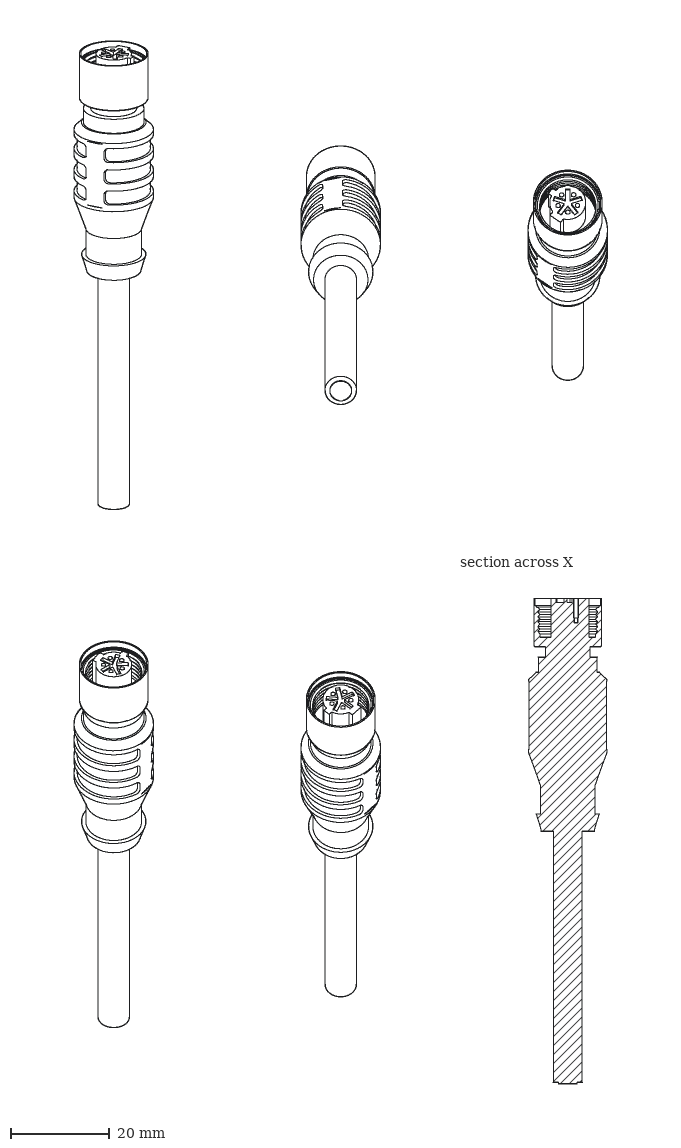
import cadquery as cq
import math

total_height = 98.3

core_diameter = 4.4
core_stub = 0.3
cable_diameter = 6.4

relief_end_diameter = 11.0
relief_lip_diameter = 13.1
relief_bottom = 51.1
relief_top = 54.6
waist_diameter = 11.3
waist_top = 60.2
grip_diameter = 16.1
grip_bottom = 67.0
grip_top = 81.9
shoulder_diameter = 13.1
shoulder_top = 83.3

collar_diameter = 12.3
collar_top = 86.4
neck_diameter = 9.3

nut_diameter = 14.0
nut_length = 9.8
nut_bottom = total_height - nut_length
nut_edge_chamfer = 0.2
nut_mouth_diameter = 13.4
nut_mouth_depth = 1.5
nut_step_diameter = 12.9
nut_step_depth = 1.8
nut_bore_diameter = 11.4
nut_floor_thickness = 2.0
nut_floor = nut_bottom + nut_floor_thickness
thread_pitch = 1.0
thread_root_diameter = 12.3
thread_count = 6

groove_count = 3
groove_height = 3.0
groove_pitch = 4.6
groove_floor_diameter = 14.8
groove_end_offset = 2.1
groove_corner_radius = 0.9
top_groove_center = 79.2

flat_width = 3.3
flat_bottom = 67.7
flat_top = 81.6

insert_diameter = 7.3
key_reach = 4.3
wide_key_width = 2.7
narrow_key_width = 1.5
contact_count = 5
contact_circle_diameter = 4.1
contact_hole_diameter = 0.9
contact_hole_depth = 3.9
contact_bore_diameter = 0.7
contact_bore_depth = 4.9
star_arm_width = 0.9
star_arm_reach = 2.9
star_depth = 0.8


def disc(diameter, bottom, top):
    """Solid cylinder on the Z axis."""
    return cq.Workplane("XY").workplane(offset=bottom).circle(diameter / 2).extrude(top - bottom)


def make_body():
    """Turned shape of cable, strain relief, grip, collar and neck."""
    outline = [
        (0, 0),
        (core_diameter / 2, 0),
        (core_diameter / 2, core_stub),
        (cable_diameter / 2, core_stub),
        (cable_diameter / 2, relief_bottom),
        (relief_end_diameter / 2, relief_bottom),
        (relief_lip_diameter / 2, relief_top),
        (waist_diameter / 2, relief_top),
        (waist_diameter / 2, waist_top),
        (grip_diameter / 2, grip_bottom),
        (grip_diameter / 2, grip_top),
        (shoulder_diameter / 2, shoulder_top),
        (collar_diameter / 2, shoulder_top),
        (collar_diameter / 2, collar_top),
        (neck_diameter / 2, collar_top),
        (neck_diameter / 2, nut_floor),
        (0, nut_floor),
    ]
    return cq.Workplane("XZ").polyline(outline).close().revolve(360, (0, 0), (0, 1))


def cut_finger_grooves(body):
    """Grooves that run round each side and stop in rounded ends beside the flats."""
    groove_length = grip_diameter
    floor = disc(groove_floor_diameter, grip_bottom, grip_top)
    for side in (-1, 1):
        for index in range(groove_count):
            center_z = top_groove_center - index * groove_pitch
            groove = (
                cq.Workplane("XY")
                .box(groove_length, grip_diameter * 2, groove_height)
                .edges("|Y")
                .fillet(groove_corner_radius)
                .translate((side * (groove_end_offset + groove_length / 2), 0, center_z))
            )
            body = body.cut(groove.cut(floor))
    return body


def cut_flats(body):
    """Shallow flats whose width is a chord of the grip circle."""
    flat_distance = math.sqrt((grip_diameter / 2) ** 2 - (flat_width / 2) ** 2)
    flat_height = flat_top - flat_bottom
    for side in (-1, 1):
        cutter = cq.Workplane("XY").box(grip_diameter, grip_diameter, flat_height)
        center_y = side * (flat_distance + grip_diameter / 2)
        body = body.cut(cutter.translate((0, center_y, flat_bottom + flat_height / 2)))
    return body


def make_nut():
    """Coupling nut with a stepped mouth above an internal thread of ring grooves."""
    mouth_bottom = total_height - nut_mouth_depth
    step_bottom = total_height - nut_step_depth
    nut = disc(nut_diameter, nut_bottom, total_height).faces("<Z").chamfer(nut_edge_chamfer)
    nut = nut.cut(disc(nut_bore_diameter, nut_floor, total_height))
    nut = nut.cut(disc(nut_step_diameter, step_bottom, total_height))
    nut = nut.cut(disc(nut_mouth_diameter, mouth_bottom, total_height))
    bore_radius = nut_bore_diameter / 2
    root_radius = thread_root_diameter / 2
    for index in range(thread_count):
        root_height = step_bottom - index * thread_pitch
        ring_outline = [
            (0, root_height + thread_pitch / 2),
            (bore_radius, root_height + thread_pitch / 2),
            (root_radius, root_height),
            (bore_radius, root_height - thread_pitch / 2),
            (0, root_height - thread_pitch / 2),
        ]
        ring = cq.Workplane("XZ").polyline(ring_outline).close().revolve(360, (0, 0), (0, 1))
        nut = nut.cut(ring)
    return nut


def make_insert():
    """Keyed contact carrier with a star recess and the contact holes between its arms."""
    height = total_height - nut_floor
    base = cq.Workplane("XY").workplane(offset=nut_floor)
    insert = base.circle(insert_diameter / 2).extrude(height)
    wide_key = base.center(0, key_reach / 2).rect(wide_key_width, key_reach).extrude(height)
    narrow_key = base.center(key_reach / 2, 0).rect(key_reach, narrow_key_width).extrude(height)
    insert = insert.union(wide_key).union(narrow_key)

    face = cq.Workplane("XY").workplane(offset=total_height)
    step = 360 / contact_count
    for index in range(contact_count):
        arm = face.center(0, star_arm_reach / 2).rect(star_arm_width, star_arm_reach)
        insert = insert.cut(arm.extrude(-star_depth).rotate((0, 0, 0), (0, 0, 1), index * step))
    sockets = (
        (contact_hole_diameter, contact_hole_depth),
        (contact_bore_diameter, contact_bore_depth),
    )
    for diameter, depth in sockets:
        centers = face.polarArray(contact_circle_diameter / 2, -90, 360, contact_count)
        insert = insert.cut(centers.circle(diameter / 2).extrude(-depth))
    return insert


result = cut_flats(cut_finger_grooves(make_body()))
result = result.union(make_nut()).union(make_insert())